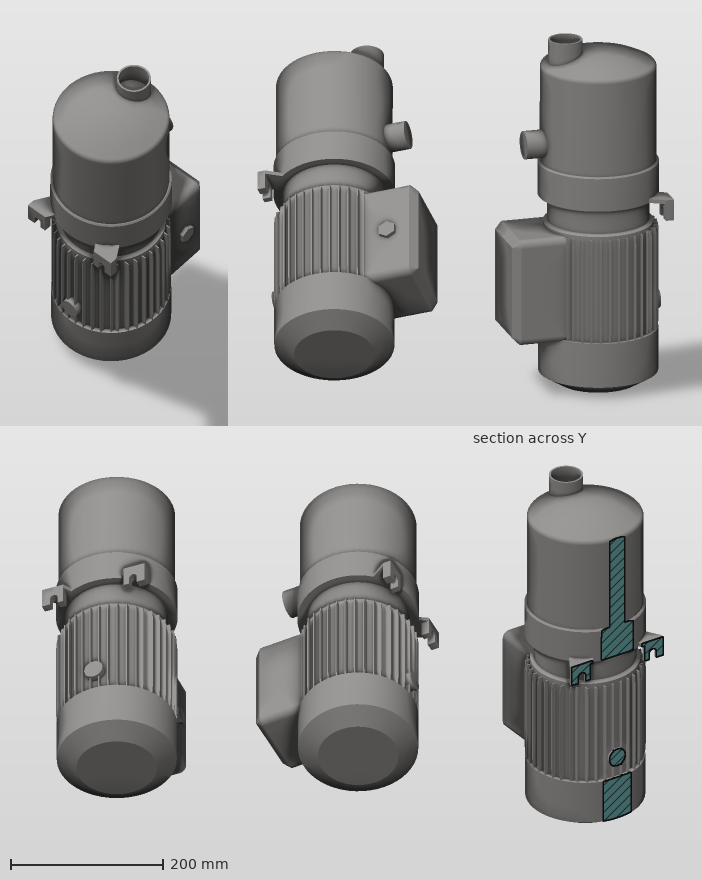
import cadquery as cq
import math

COVER_CONE_TOP = 15.5
FIN_BOTTOM = 76.0
FIN_TOP = 218.0
SHOULDER_BOTTOM = 222.4
SHOULDER_TOP = 225.0
FLANGE_BOTTOM = 260.0
FLANGE_TOP = 307.0
DOME_APEX = 460.0
OUTLET_TOP = 477.0

COVER_BASE_RADIUS = 53.0
COVER_RADIUS = 79.0
CORE_RADIUS = 72.7
NECK_RADIUS = 67.5
FLANGE_RADIUS = 80.0
TANK_RADIUS = 76.8
DOME_RADIUS = 150.0
KNUCKLE_RADIUS = 6.5
FLANGE_CHAMFER = 2.0

SIDES = 4
FINS_PER_SIDE = 10
FIN_PITCH_ANGLE = 2 * math.pi / (SIDES * FINS_PER_SIDE)
FIN_PITCH_RADIUS = 78.0
FIN_THICKNESS = 1.6
FIN_RADIUS = 79.6
CORNER_FIN_TIP = 58.7
FIN_END_TAPER = 12.5
FIN_END_DROP = 1.0
FIN_ROOT_DEPTH = 3.0

OUTLET_OUTER_RADIUS = 22.5
OUTLET_BORE_RADIUS = 20.0
OUTLET_Y = 45.0
INLET_RADIUS = 18.7
INLET_Z = 334.8
INLET_END_Y = 102.0

BOX_WIDTH = 100.0
BOX_BACK_Y = 129.5
BOX_FRONT_Y = 40.0
BOX_BOTTOM = 73.0
BOX_TOP = 218.3
BOX_EDGE_RADIUS = 10.0
BOX_RIM_CHAMFER = 9.9
GLAND_FLATS = 21.0
GLAND_LENGTH = 5.7
GLAND_Y = 90.0

FRONT_Y = -82.5
PLUG_RADIUS = 12.9
PLUG_Z = 105.5
FOOT_OUTER_X = 72.8
FOOT_INNER_X = 42.6
FOOT_BACK_Y = -71.7
FOOT_BOTTOM = 237.0
FOOT_TOP = 265.5
FOOT_WEB_ANGLE = 58.5
FOOT_WEB_REACH = 24.0
SLOT_X = 56.0
SLOT_WIDTH = 10.8
SLOT_TOP = 251.4


def make_body():
    """Motor, neck, flange and domed tank as one turned profile."""
    dome_centre_z = DOME_APEX - DOME_RADIUS
    knuckle_r = TANK_RADIUS - KNUCKLE_RADIUS
    centre_distance = DOME_RADIUS - KNUCKLE_RADIUS
    knuckle_z = dome_centre_z + math.sqrt(centre_distance**2 - knuckle_r**2)
    dome_edge_angle = math.asin(knuckle_r / centre_distance)

    def on_dome(angle):
        return (DOME_RADIUS * math.sin(angle), dome_centre_z + DOME_RADIUS * math.cos(angle))

    knuckle_angle = (dome_edge_angle + math.pi / 2) / 2
    knuckle_mid = (
        knuckle_r + KNUCKLE_RADIUS * math.sin(knuckle_angle),
        knuckle_z + KNUCKLE_RADIUS * math.cos(knuckle_angle),
    )
    return (
        cq.Workplane("XZ")
        .moveTo(0, 0)
        .lineTo(COVER_BASE_RADIUS, 0)
        .lineTo(COVER_RADIUS, COVER_CONE_TOP)
        .lineTo(COVER_RADIUS, FIN_BOTTOM)
        .lineTo(CORE_RADIUS, FIN_BOTTOM)
        .lineTo(CORE_RADIUS, SHOULDER_BOTTOM)
        .lineTo(NECK_RADIUS, SHOULDER_TOP)
        .lineTo(NECK_RADIUS, FLANGE_BOTTOM)
        .lineTo(FLANGE_RADIUS, FLANGE_BOTTOM)
        .lineTo(FLANGE_RADIUS, FLANGE_TOP - FLANGE_CHAMFER)
        .lineTo(FLANGE_RADIUS - FLANGE_CHAMFER, FLANGE_TOP)
        .lineTo(TANK_RADIUS, FLANGE_TOP)
        .lineTo(TANK_RADIUS, knuckle_z)
        .threePointArc(knuckle_mid, on_dome(dome_edge_angle))
        .threePointArc(on_dome(dome_edge_angle / 2), (0, DOME_APEX))
        .close()
        .revolve(360, (0, 0, 0), (0, 1, 0))
    )


def make_fin(offset, tip):
    """Fin parallel to X at Y = offset with a flat tip at X = tip, narrowed towards both ends."""
    root = math.sqrt(CORE_RADIUS**2 - offset**2) - FIN_ROOT_DEPTH
    end_tip = tip - FIN_END_DROP
    return (
        cq.Workplane("XZ", origin=(0, offset, 0))
        .moveTo(root, FIN_BOTTOM)
        .lineTo(end_tip, FIN_BOTTOM)
        .lineTo(tip, FIN_BOTTOM + FIN_END_TAPER)
        .lineTo(tip, FIN_TOP - FIN_END_TAPER)
        .lineTo(end_tip, FIN_TOP)
        .lineTo(root, FIN_TOP)
        .close()
        .extrude(FIN_THICKNESS / 2, both=True)
    )


def make_fins():
    """Four groups of parallel fins; the outermost of each group are shortened at the corners."""
    fins = []
    half_count = FINS_PER_SIDE // 2
    for i in range(half_count):
        offset = FIN_PITCH_RADIUS * math.sin((i + 0.5) * FIN_PITCH_ANGLE)
        tip = math.sqrt(FIN_RADIUS**2 - (offset + FIN_THICKNESS / 2) ** 2)
        if i == half_count - 1:
            tip = CORNER_FIN_TIP
        for y in (-offset, offset):
            fin = make_fin(y, tip)
            fins += [fin.rotate((0, 0, 0), (0, 0, 1), side * 360 / SIDES) for side in range(SIDES)]
    return fins


def make_outlet():
    """Pipe rooted in the tank, and its bore that stops at the dome surface."""
    dome = cq.Workplane("XY").sphere(DOME_RADIUS).translate((0, 0, DOME_APEX - DOME_RADIUS))
    height = OUTLET_TOP - FLANGE_TOP
    base = cq.Workplane("XY", origin=(0, OUTLET_Y, FLANGE_TOP))
    bore = base.circle(OUTLET_BORE_RADIUS).extrude(height).cut(dome)
    return base.circle(OUTLET_OUTER_RADIUS).extrude(height), bore


def make_inlet():
    """Straight stub on the back of the tank."""
    return (
        cq.Workplane("XZ", origin=(0, 0, INLET_Z))
        .circle(INLET_RADIUS)
        .extrude(-INLET_END_Y)
    )


def make_terminal_box():
    """Box with rounded edges, a chamfered back rim and a hexagonal cable gland on +X."""
    height = BOX_TOP - BOX_BOTTOM
    middle_z = (BOX_TOP + BOX_BOTTOM) / 2
    box = (
        cq.Workplane("XZ", origin=(0, BOX_FRONT_Y, middle_z))
        .rect(BOX_WIDTH, height)
        .extrude(BOX_FRONT_Y - BOX_BACK_Y)
        .edges("|Y")
        .fillet(BOX_EDGE_RADIUS)
        .faces(">Y")
        .edges()
        .chamfer(BOX_RIM_CHAMFER)
    )
    gland = (
        cq.Workplane("YZ", origin=(BOX_WIDTH / 2, GLAND_Y, middle_z))
        .transformed(rotate=(0, 0, 90))
        .polygon(6, GLAND_FLATS / math.cos(math.pi / 6))
        .extrude(GLAND_LENGTH)
    )
    return box.union(gland)


def make_plug():
    """Round plug between the fins at the front of the motor."""
    return cq.Workplane("XZ", origin=(0, 0, PLUG_Z)).circle(PLUG_RADIUS).extrude(-FRONT_Y)


def make_foot():
    """Foot on the +X side: slanted web under the flange and a slotted front leg."""
    web_dx = FOOT_WEB_REACH / math.tan(math.radians(FOOT_WEB_ANGLE))
    web = (
        cq.Workplane("XY", origin=(0, 0, FLANGE_BOTTOM))
        .polyline([
            (FOOT_INNER_X, FRONT_Y),
            (FOOT_OUTER_X, FRONT_Y),
            (FOOT_OUTER_X, FOOT_BACK_Y),
            (FOOT_OUTER_X - web_dx, FOOT_BACK_Y + FOOT_WEB_REACH),
            (FOOT_INNER_X - web_dx, FRONT_Y + FOOT_WEB_REACH),
        ])
        .close()
        .extrude(FOOT_TOP - FLANGE_BOTTOM)
    )
    leg = cq.Workplane("XY").box(
        FOOT_OUTER_X - FOOT_INNER_X,
        FOOT_BACK_Y - FRONT_Y,
        FOOT_TOP - FOOT_BOTTOM,
        centered=False,
    ).translate((FOOT_INNER_X, FRONT_Y, FOOT_BOTTOM))
    slot_radius = SLOT_WIDTH / 2
    arc_z = SLOT_TOP - slot_radius
    slot = (
        cq.Workplane("XZ", origin=(0, FOOT_BACK_Y, 0))
        .moveTo(SLOT_X - slot_radius, FOOT_BOTTOM)
        .lineTo(SLOT_X + slot_radius, FOOT_BOTTOM)
        .lineTo(SLOT_X + slot_radius, arc_z)
        .threePointArc((SLOT_X, SLOT_TOP), (SLOT_X - slot_radius, arc_z))
        .close()
        .extrude(FOOT_BACK_Y - FRONT_Y)
    )
    return web.union(leg.cut(slot))


outlet_pipe, outlet_bore = make_outlet()
foot = make_foot()

result = make_body()
for fin in make_fins():
    result = result.union(fin)
for feature in (make_terminal_box(), make_inlet(), make_plug(), foot, foot.mirror("YZ")):
    result = result.union(feature)
result = result.union(outlet_pipe).cut(outlet_bore)